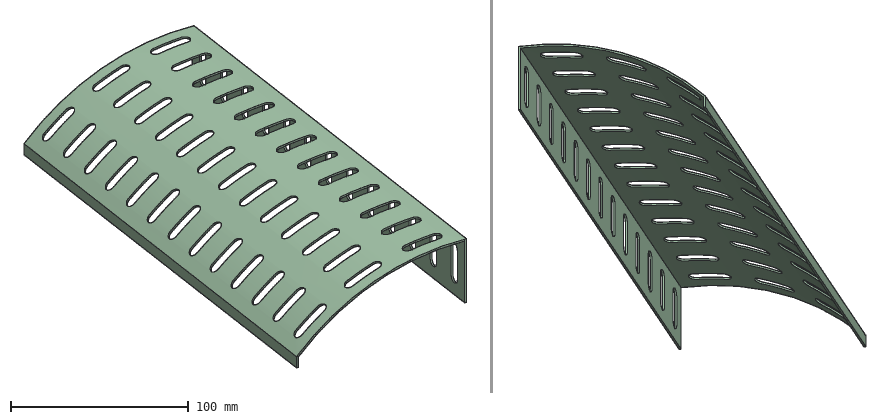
import cadquery as cq
import math

length = 312.0
depth = 110.0
wall_height = 40.0
lip_height = 7.0
thickness = 1.2
inner_radius = 150.0

slot_length = 25.0
slot_width = 7.0
slot_columns = 13
slot_pitch = 24.0
arc_row_pitch = 40.0
first_row_arc = 22.0
arc_row_count = 3
wall_slot_drop = wall_height / 2
cutter_depth = 10 * thickness

outer_radius = inner_radius + thickness
middle_radius = inner_radius + thickness / 2
front_inner_y = thickness - depth
middle_y = -depth / 2
wall_bottom_z = outer_radius - wall_height


def arc_point(radius, y):
    """Point at position y on the arc of the given radius."""
    return y, math.sqrt(radius**2 - y**2)


def make_sheet():
    """Bent sheet: rear wall, curved cover and short front lip."""
    lip_top = arc_point(outer_radius, -depth)
    lip_bottom_z = lip_top[1] - lip_height
    return (
        cq.Workplane("YZ", origin=(-length / 2, 0, 0))
        .moveTo(0, wall_bottom_z)
        .lineTo(0, outer_radius)
        .threePointArc(arc_point(outer_radius, middle_y), lip_top)
        .lineTo(-depth, lip_bottom_z)
        .lineTo(front_inner_y, lip_bottom_z)
        .lineTo(*arc_point(inner_radius, front_inner_y))
        .threePointArc(arc_point(inner_radius, middle_y), arc_point(inner_radius, -thickness))
        .lineTo(-thickness, wall_bottom_z)
        .close()
        .extrude(length)
    )


def make_slot_row(center, normal):
    """Row of slot cutters along X, centred in the sheet thickness and cutting along its normal."""
    plane = cq.Plane(origin=center, xDir=(1, 0, 0), normal=normal)
    return (
        cq.Workplane(plane)
        .rarray(slot_pitch, 1, slot_columns, 1)
        .slot2D(slot_length, slot_width, 90)
        .extrude(cutter_depth / 2, both=True)
    )


def cut_arc_slots(sheet):
    """Rows of slots in the curved cover, evenly spaced along its arc."""
    for row in range(arc_row_count):
        angle = (first_row_arc + row * arc_row_pitch) / middle_radius
        normal = (0, -math.sin(angle), math.cos(angle))
        center = (0, middle_radius * normal[1], middle_radius * normal[2])
        sheet = sheet.cut(make_slot_row(center, normal))
    return sheet


def cut_wall_slots(sheet):
    """Row of upright slots in the rear wall."""
    center = (0, -thickness / 2, outer_radius - wall_slot_drop)
    return sheet.cut(make_slot_row(center, (0, 1, 0)))


result = cut_wall_slots(cut_arc_slots(make_sheet()))